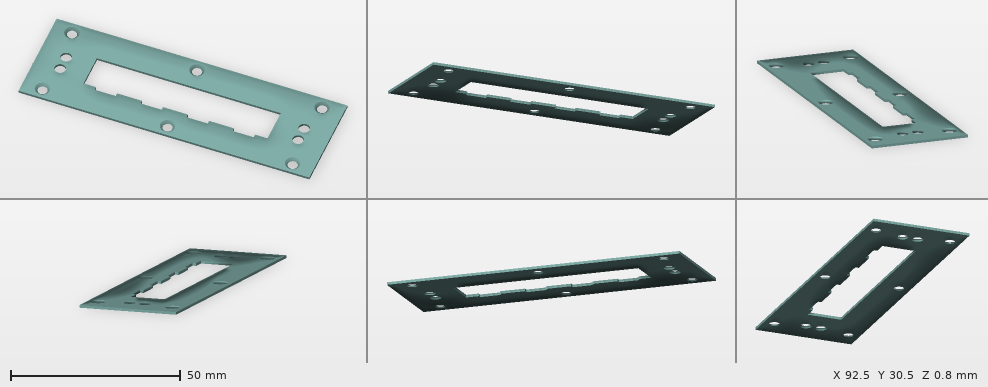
import cadquery as cq

plate_length = 92.5
plate_width = 30.5
plate_thickness = 0.8

pattern_x = -0.2

screw_pitch_x = 39.8
screw_row_spacing = 23.6
screw_hole_diameter = 3.05
screw_center_y = -0.05
countersink_diameter = 4.6
countersink_angle = 90.0

round_hole_diameter = 3.4
round_hole_spacing_x = 75.7
round_hole_spacing_y = 4.8
round_hole_center_y = -0.2

window_length = 58.5
window_top_y = 5.2
window_bottom_y = -5.5
notch_count = 4
notch_pitch = 14.6
notch_length = 6.7
notch_depth = 1.1


def through_box(center_x, bottom_y, length, height):
    """Rectangular cutter that passes through the plate."""
    return (
        cq.Workplane("XY")
        .center(center_x, bottom_y + height / 2)
        .rect(length, height)
        .extrude(plate_thickness)
    )


def notched_window():
    """Window cutter with evenly spaced notches below it."""
    window_height = window_top_y - window_bottom_y
    cutter = through_box(pattern_x, window_bottom_y, window_length, window_height)
    notch_bottom_y = window_bottom_y - notch_depth
    notch_height = window_top_y - notch_bottom_y
    for index in range(notch_count):
        notch_x = pattern_x + (index - (notch_count - 1) / 2) * notch_pitch
        cutter = cutter.union(through_box(notch_x, notch_bottom_y, notch_length, notch_height))
    return cutter


plate = cq.Workplane("XY").box(
    plate_length, plate_width, plate_thickness, centered=(True, True, False)
)

with_window = plate.cut(notched_window())

with_screw_holes = (
    with_window.faces(">Z")
    .workplane(origin=(pattern_x, screw_center_y, plate_thickness))
    .rarray(screw_pitch_x, screw_row_spacing, 3, 2)
    .cskHole(screw_hole_diameter, countersink_diameter, countersink_angle)
)

result = (
    with_screw_holes.faces(">Z")
    .workplane(origin=(pattern_x, round_hole_center_y, plate_thickness))
    .rarray(round_hole_spacing_x, round_hole_spacing_y, 2, 2)
    .hole(round_hole_diameter)
)